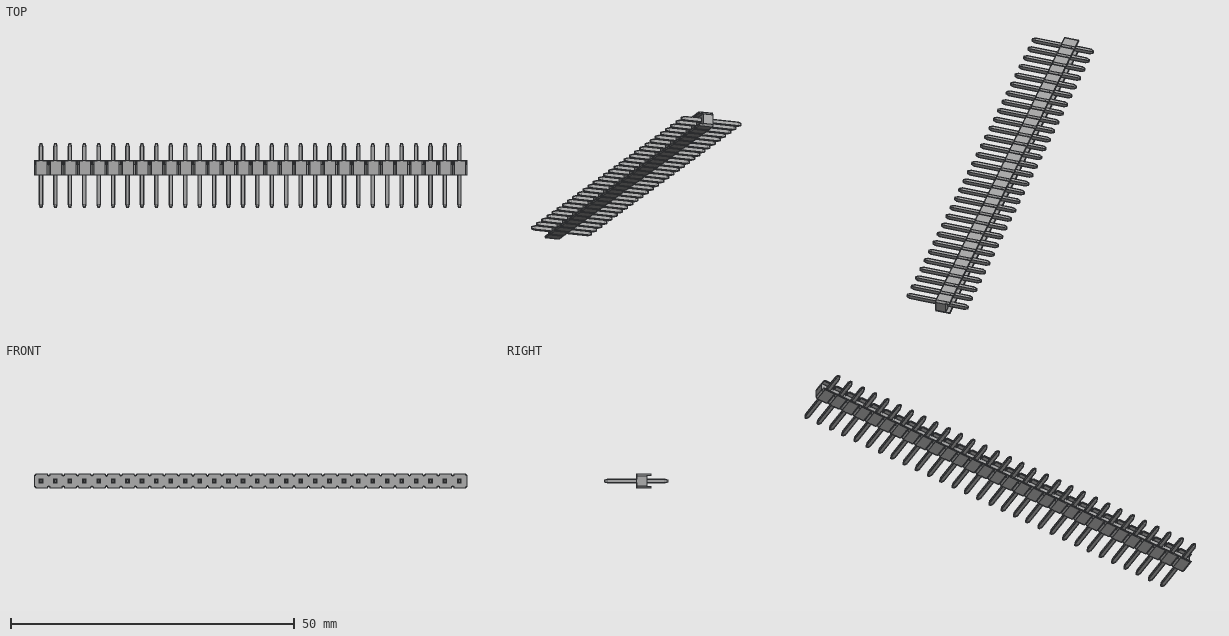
import cadquery as cq

pitch = 2.54
pin_count = 30
strip_length = pin_count * pitch
body_size = 2.54
bevel_width = 0.3
bevel_height = 0.4
channel_depth = 0.7
lip_thickness = 0.33

pin_width = 0.64
pin_length = 11.24
pin_front_length = 5.68
pin_offset = -0.1
tip_length = 0.55
tip_width = 0.32

body_front_y = -body_size / 2
body_back_y = body_size / 2
pin_front_y = body_front_y - pin_front_length
pin_back_y = pin_front_y + pin_length
shank_front_y = pin_front_y + tip_length
shank_back_y = pin_back_y - tip_length


def cell_center(index):
    """X position of one cell, with the strip centred on X = 0."""
    return (index - (pin_count - 1) / 2) * pitch


def body_outline():
    """Points of the strip outline in XZ: bevelled cells along the top and back along the bottom."""
    half_height = body_size / 2
    half_flat = pitch / 2 - bevel_width
    shoulder = half_height - bevel_height
    top = [(-strip_length / 2, shoulder)]
    for index in range(pin_count):
        x = cell_center(index)
        top.append((x - half_flat, half_height))
        top.append((x + half_flat, half_height))
        top.append((x + pitch / 2, shoulder))
    bottom = [(x, -z) for x, z in reversed(top)]
    return top + bottom


def make_body():
    """Insulator strip with a channel running the full length of its back face."""
    strip = (
        cq.Workplane("XZ", origin=(0, body_back_y, 0))
        .polyline(body_outline())
        .close()
        .extrude(body_size)
    )
    channel_height = body_size - 2 * lip_thickness
    channel = cq.Workplane("XY").box(strip_length, channel_depth, channel_height)
    return strip.cut(channel.translate((0, body_back_y - channel_depth / 2, 0)))


def make_pin_tip(base_y, end_y):
    """Square taper from the full pin section to the small end face."""
    return (
        cq.Workplane("XZ", origin=(0, base_y, 0))
        .rect(pin_width, pin_width)
        .workplane(offset=base_y - end_y)
        .rect(tip_width, tip_width)
        .loft(combine=True)
    )


def make_pin():
    """Square pin with both ends tapered, centred on X = 0 and Z = 0."""
    shank = (
        cq.Workplane("XZ", origin=(0, shank_back_y, 0))
        .rect(pin_width, pin_width)
        .extrude(shank_back_y - shank_front_y)
    )
    front_tip = make_pin_tip(shank_front_y, pin_front_y)
    back_tip = make_pin_tip(shank_back_y, pin_back_y)
    return shank.union(front_tip).union(back_tip)


def make_pin_row():
    """One pin for every cell of the strip."""
    pin = make_pin().val()
    return [pin.translate(cq.Vector(cell_center(index) + pin_offset, 0, 0)) for index in range(pin_count)]


strip_with_pins = make_body().val().fuse(*make_pin_row())
result = cq.Workplane("XY").newObject(strip_with_pins.Solids())